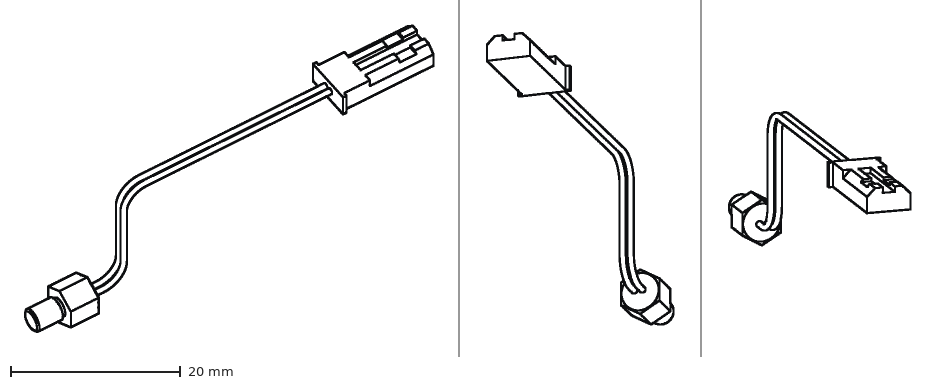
import cadquery as cq
import math


stud_diameter = 3.0
stud_chamfer = 0.2
neck_diameter = 2.5
neck_start = 3.55
hex_start = 4.05
hex_length = 4.0
hex_across_flats = 4.8
hex_across_corners = hex_across_flats / math.cos(math.radians(30))
hex_end = hex_start + hex_length
dome_base_diameter = 4.65
dome_height = 0.65

total_length = 55.3
housing_length = 13.15
housing_width = 5.4
housing_height = 3.0
housing_top = 16.3
housing_start = total_length - housing_length
flange_width = 6.4
flange_thickness = 0.5
latch_length = 9.0
latch_start = total_length - latch_length
edge_chamfer = 1.0
slot_width = 1.5
slot_depth = 0.65
notch_length = 2.3
notch_end_gap = 2.0
notch_depth = 0.35

wire_diameter = 0.8
wire_spacing = 1.0
wire_upper_z = 14.95
wire_drop_y = 12.8
bend_radius = 3.05


def block(width, length, height, y_start, z_top):
    """Box centred on X, running toward +Y from y_start, with its top at z_top."""
    corner_box = cq.Workplane("XY").box(width, length, height, centered=(True, False, False))
    return corner_box.translate((0, y_start, z_top - height))


def make_wire(x):
    """Round wire from the housing face, down through two bends, into the dome."""
    corner_offset = bend_radius * math.sin(math.radians(45))
    upper_center = (wire_drop_y + bend_radius, wire_upper_z - bend_radius)
    lower_center = (wire_drop_y - bend_radius, bend_radius)
    path = (
        cq.Workplane("YZ", origin=(x, 0, 0))
        .moveTo(housing_start, wire_upper_z)
        .lineTo(upper_center[0], wire_upper_z)
        .threePointArc(
            (upper_center[0] - corner_offset, upper_center[1] + corner_offset),
            (wire_drop_y, upper_center[1]),
        )
        .lineTo(wire_drop_y, lower_center[1])
        .threePointArc(
            (lower_center[0] + corner_offset, lower_center[1] - corner_offset),
            (lower_center[0], 0),
        )
        .lineTo(hex_end, 0)
    )
    profile = cq.Workplane("XZ", origin=(x, housing_start, wire_upper_z)).circle(wire_diameter / 2)
    return profile.sweep(path)


def make_housing():
    """Connector housing with an end flange, chamfered top edges, a slot and a notch."""
    body = block(housing_width, housing_length, housing_height, housing_start, housing_top)
    flange = block(flange_width, flange_thickness, housing_height, housing_start, housing_top)
    housing = body.union(flange)

    for side in (-1, 1):
        edge_x = side * housing_width / 2
        edge_cut = (
            cq.Workplane("XZ", origin=(0, total_length, 0))
            .moveTo(edge_x, housing_top)
            .lineTo(edge_x - side * edge_chamfer, housing_top)
            .lineTo(edge_x, housing_top - edge_chamfer)
            .close()
            .extrude(latch_length)
        )
        housing = housing.cut(edge_cut)

    slot = block(slot_width, latch_length, slot_depth, latch_start, housing_top)
    notch_start = total_length - notch_end_gap - notch_length
    notch = block(housing_width, notch_length, notch_depth, notch_start, housing_top)
    return housing.cut(slot).cut(notch)


def make_sensor(wires):
    """Stud, neck, hexagon and dome on one axis, with a recess in the dome for each wire."""
    stud = (
        cq.Workplane("XZ")
        .circle(stud_diameter / 2)
        .extrude(-neck_start)
        .faces("<Y")
        .chamfer(stud_chamfer)
    )
    neck = (
        cq.Workplane("XZ", origin=(0, neck_start, 0))
        .circle(neck_diameter / 2)
        .extrude(neck_start - hex_start)
    )
    hexagon = (
        cq.Workplane("XZ", origin=(0, hex_start, 0))
        .transformed(rotate=(0, 0, 90))
        .polygon(6, hex_across_corners)
        .extrude(-hex_length)
    )
    base_radius = dome_base_diameter / 2
    sphere_radius = (base_radius**2 + dome_height**2) / (2 * dome_height)
    sphere_center_y = hex_end + dome_height - sphere_radius
    half_angle = math.asin(base_radius / sphere_radius) / 2
    middle_radius = sphere_radius * math.sin(half_angle)
    middle_y = sphere_center_y + sphere_radius * math.cos(half_angle)
    dome = (
        cq.Workplane("XY")
        .moveTo(0, hex_end)
        .lineTo(base_radius, hex_end)
        .threePointArc(
            (middle_radius, middle_y),
            (0, hex_end + dome_height),
        )
        .close()
        .revolve(360, (0, 0, 0), (0, 1, 0))
    )
    sensor = stud.union(neck).union(hexagon).union(dome)
    for wire in wires:
        sensor = sensor.cut(wire)
    return sensor


wires = [make_wire(side * wire_spacing / 2) for side in (-1, 1)]
housing = make_housing()
sensor = make_sensor(wires)

result = cq.Compound.makeCompound([housing.val(), sensor.val(), *[wire.val() for wire in wires]])